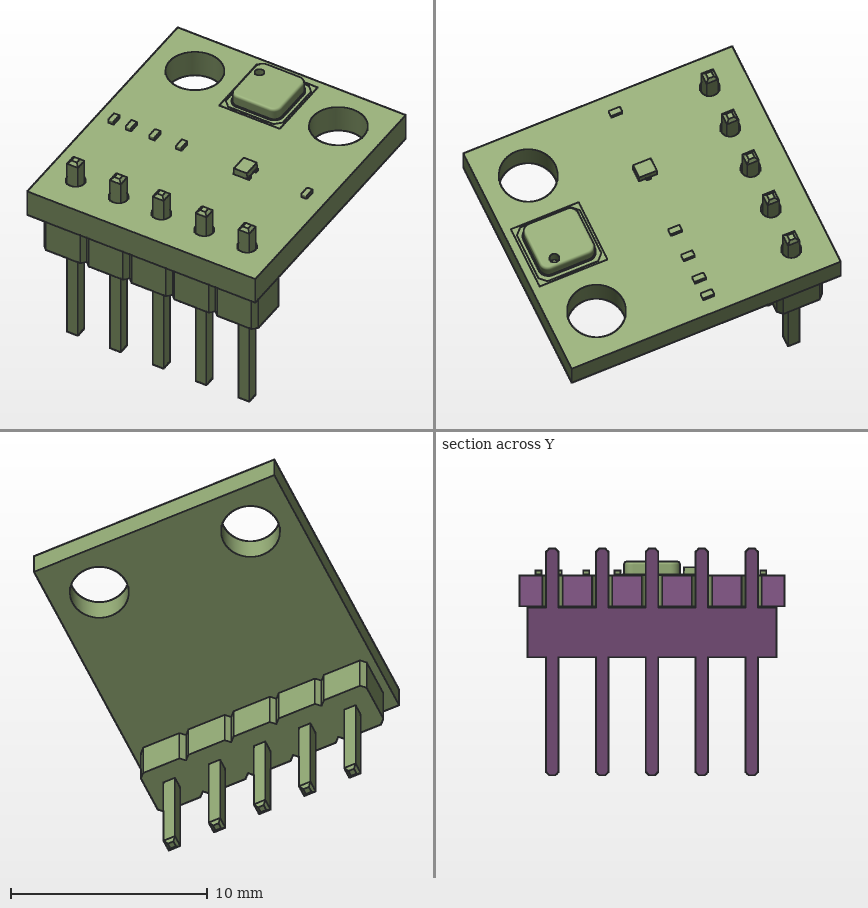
import cadquery as cq


BOARD_X = 13.5
BOARD_Y = 15.0
BOARD_THICK = 1.58
MOUNT_HOLE_DIA = 3.0
MOUNT_HOLE_INSET = 2.5
PIN_HOLE_DIA = 1.02

PIN_COUNT = 5
PITCH = 2.54
HEADER_Y = -5.49
HEADER_GAP = 0.06
HEADER_HEIGHT = 2.54
HEADER_CHAMFER = 0.25
PIN_WIDTH = 0.65
PIN_LENGTH = 11.54
PIN_ABOVE_BOARD = 1.36
PIN_TIP_HEIGHT = 0.16
PIN_TIP_WIDTH = 0.32

SENSOR_Y = 5.18
SENSOR_BASE_X = 3.58
SENSOR_BASE_Y = 3.78
SENSOR_BASE_THICK = 0.02
PLATE_X = 3.38
PLATE_Y = 3.51
PLATE_THICK = 0.02
PLATE_CHAMFER = 0.35
LID_X = 2.85
LID_Y = 3.02
LID_HEIGHT = 0.68
LID_CORNER_RADIUS = 0.46
FLANGE_WIDTH = 0.06
FLANGE_THICK = 0.03
LID_TOP_FILLET = 0.15
VENT_DIA = 0.5
VENT_X = -0.95
VENT_OFFSET_Y = 0.69

CHIP_ROW_Y = -0.51
CHIP_XS = (-5.78, -4.74, -3.35, -1.75, 5.65)
CHIP_LENGTH = 0.62
CHIP_WIDTH = 0.32
CHIP_HEIGHT = 0.21
CHIP_END_RADIUS = 0.03
CHIP_LIFT = 0.05

PACKAGE_X_CENTRE = 2.01
PACKAGE_X = 0.81
PACKAGE_Y = 1.02
PACKAGE_HEIGHT = 0.38
PACKAGE_LIFT = 0.05
PACKAGE_DRAFT = 3.0
LEAD_REACH = 0.09
LEAD_WIDTH = 0.24
LEAD_THICK = 0.06
LEAD_OFFSET_Y = 0.35

PIN_XS = [(i - (PIN_COUNT - 1) / 2) * PITCH for i in range(PIN_COUNT)]


def block(size_x, size_y, height, x, y, z):
    """Box centred on (x, y) and standing on height z."""
    return cq.Workplane("XY", origin=(x, y, z)).box(size_x, size_y, height, centered=(True, True, False))


def drill(points, diameter):
    """Cylinders through the board thickness at the given points."""
    return cq.Workplane("XY").pushPoints(points).circle(diameter / 2).extrude(BOARD_THICK)


def make_board():
    mount_x = BOARD_X / 2 - MOUNT_HOLE_INSET
    mount_y = BOARD_Y / 2 - MOUNT_HOLE_INSET
    mount_points = [(-mount_x, mount_y), (mount_x, mount_y)]
    pin_points = [(x, HEADER_Y) for x in PIN_XS]
    board = block(BOARD_X, BOARD_Y, BOARD_THICK, 0, 0, 0)
    return board.cut(drill(mount_points, MOUNT_HOLE_DIA)).cut(drill(pin_points, PIN_HOLE_DIA))


def make_pin_tip(x, z, direction):
    """Tapered pin end growing from height z upward (direction 1) or downward (direction -1)."""
    return (
        cq.Workplane("XY", origin=(x, HEADER_Y, z))
        .rect(PIN_WIDTH, PIN_WIDTH)
        .workplane(offset=direction * PIN_TIP_HEIGHT)
        .rect(PIN_TIP_WIDTH, PIN_TIP_WIDTH)
        .loft(combine=True)
    )


def make_header():
    """Plastic strip of chamfered cells with a square pin moulded into each."""
    shank_top = BOARD_THICK + PIN_ABOVE_BOARD - PIN_TIP_HEIGHT
    shank_length = PIN_LENGTH - 2 * PIN_TIP_HEIGHT
    shank_bottom = shank_top - shank_length
    strip_bottom = -HEADER_GAP - HEADER_HEIGHT
    header = cq.Workplane("XY")
    for x in PIN_XS:
        cell = block(PITCH, PITCH, HEADER_HEIGHT, x, HEADER_Y, strip_bottom)
        header = header.union(cell.edges("|Z").chamfer(HEADER_CHAMFER))
    for x in PIN_XS:
        header = header.union(block(PIN_WIDTH, PIN_WIDTH, shank_length, x, HEADER_Y, shank_bottom))
        header = header.union(make_pin_tip(x, shank_top, 1))
        header = header.union(make_pin_tip(x, shank_bottom, -1))
    return header


def make_sensor():
    """Thin base and plate carrying a flanged, rounded lid with a vent hole down to the plate."""
    plate_z = BOARD_THICK + SENSOR_BASE_THICK
    lid_z = plate_z + PLATE_THICK
    base = block(SENSOR_BASE_X, SENSOR_BASE_Y, SENSOR_BASE_THICK, 0, SENSOR_Y, BOARD_THICK)
    plate = block(PLATE_X, PLATE_Y, PLATE_THICK, 0, SENSOR_Y, plate_z)
    plate = plate.edges("|Z").chamfer(PLATE_CHAMFER)
    flange = block(LID_X + 2 * FLANGE_WIDTH, LID_Y + 2 * FLANGE_WIDTH, FLANGE_THICK, 0, SENSOR_Y, lid_z)
    flange = flange.edges("|Z").fillet(LID_CORNER_RADIUS + FLANGE_WIDTH)
    lid = block(LID_X, LID_Y, LID_HEIGHT, 0, SENSOR_Y, lid_z)
    lid = lid.edges("|Z").fillet(LID_CORNER_RADIUS).faces(">Z").edges().fillet(LID_TOP_FILLET)
    vent = (
        cq.Workplane("XY", origin=(VENT_X, SENSOR_Y + VENT_OFFSET_Y, lid_z))
        .circle(VENT_DIA / 2)
        .extrude(LID_HEIGHT)
    )
    return base.union(plate).union(flange.union(lid).cut(vent))


def make_chip(x):
    """Small block whose two ends are rounded along X."""
    chip = block(CHIP_WIDTH, CHIP_LENGTH, CHIP_HEIGHT, x, CHIP_ROW_Y, BOARD_THICK + CHIP_LIFT)
    return chip.edges("|X").fillet(CHIP_END_RADIUS)


def make_package():
    """Tapered block with one flat lead on its -X side and two on its +X side."""
    package = (
        cq.Workplane("XY", origin=(PACKAGE_X_CENTRE, CHIP_ROW_Y, BOARD_THICK + PACKAGE_LIFT))
        .rect(PACKAGE_X, PACKAGE_Y)
        .extrude(PACKAGE_HEIGHT, taper=PACKAGE_DRAFT)
    )
    for side, offset_y in ((-1, 0), (1, -LEAD_OFFSET_Y), (1, LEAD_OFFSET_Y)):
        x = PACKAGE_X_CENTRE + side * PACKAGE_X / 2
        y = CHIP_ROW_Y + offset_y
        package = package.union(block(2 * LEAD_REACH, LEAD_WIDTH, LEAD_THICK, x, y, BOARD_THICK))
    return package


board = make_board()
header = make_header()
sensor = make_sensor()
chips = [make_chip(x).val() for x in CHIP_XS]
package = make_package()

result = cq.Compound.makeCompound([board.val(), header.val(), sensor.val(), *chips, package.val()])